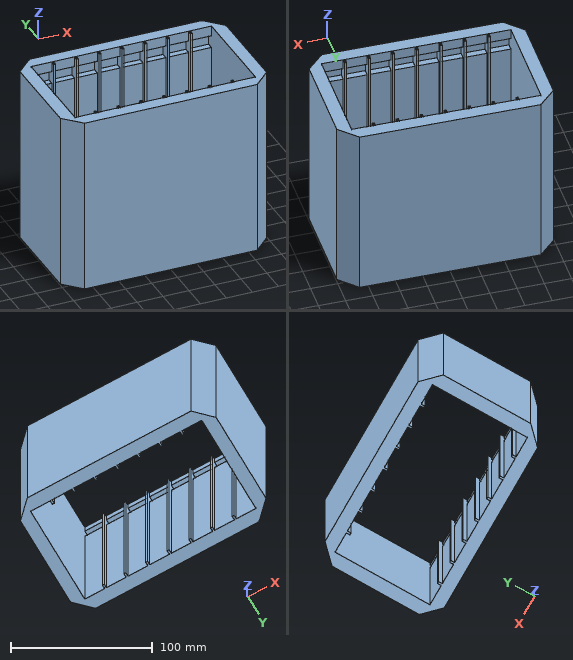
import cadquery as cq

length = 159.0
width = 97.0
height = 136.0
wall = 10.0
corner_chamfer = 13.0

rib_count = 7
rib_thickness = 1.6
rib_depth = 3.0
rib_tip_chamfer = 0.5

pocket_top_gap = 8.0
pocket_height = 9.5
pocket_depth = 5.0

inner_length = length - 2 * wall
inner_width = width - 2 * wall
bay_count = rib_count + 1
bay_width = (inner_length - rib_count * rib_thickness) / bay_count
pitch = bay_width + rib_thickness
rib_root = wall / 2


def tube():
    outer = cq.Workplane("XY").rect(length, width).extrude(height).edges("|Z").chamfer(corner_chamfer)
    bore = cq.Workplane("XY").rect(inner_length, inner_width).extrude(height)
    return outer.cut(bore)


def ribs(side):
    """Full-height ribs with chamfered tops on one long wall; side is +1 or -1 along Y."""
    rib_y = side * (inner_width + rib_root - rib_depth) / 2
    return (
        cq.Workplane("XY")
        .center(0, rib_y)
        .rarray(pitch, 1.6, rib_count, 1)
        .rect(rib_thickness, rib_depth + rib_root)
        .extrude(height)
        .faces(">Z")
        .edges()
        .chamfer(rib_tip_chamfer)
    )


def pockets(side):
    """Row of bay pockets in one long wall; side is +1 or -1 along Y."""
    pocket_y = side * (inner_width + pocket_depth) / 2
    return (
        cq.Workplane("XY")
        .workplane(offset=height - pocket_top_gap - pocket_height)
        .center(0, pocket_y)
        .rarray(pitch, 1.6, bay_count, 1)
        .rect(bay_width, pocket_depth)
        .extrude(pocket_height)
    )


result = tube()
for side in (-1, 1):
    result = result.union(ribs(side)).cut(pockets(side))